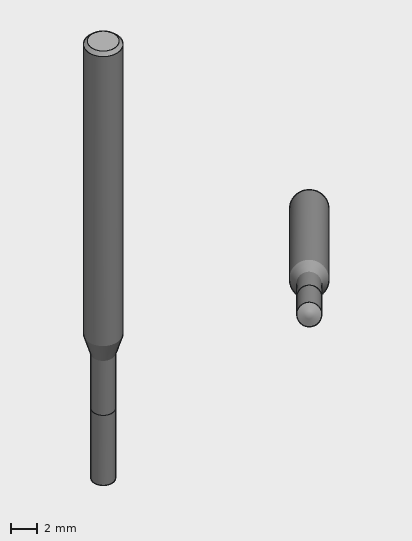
import cadquery as cq
import math

overall_length = 43.0
shank_diameter = 3.0
shank_chamfer = 0.3
shank_start = 14.4
neck_start = 12.5
cutter_length = 7.2
cutter_diameter = 1.9
neck_diameter = cutter_diameter
point_angle = 140.0

shank_radius = shank_diameter / 2
neck_radius = neck_diameter / 2
cutter_radius = cutter_diameter / 2
point_height = cutter_radius / math.tan(math.radians(point_angle / 2))


def revolve_profile(plane, points):
    """Turn a closed (radius, height) profile about the tool axis."""
    return cq.Workplane(plane).polyline(points).close().revolve(360, (0, 0), (0, 1))


def make_shank():
    """Chamfered shank, taper and neck, turned from the -Y side."""
    profile = [
        (0, cutter_length),
        (-neck_radius, cutter_length),
        (-neck_radius, neck_start),
        (-shank_radius, shank_start),
        (-shank_radius, overall_length - shank_chamfer),
        (-(shank_radius - shank_chamfer), overall_length),
        (0, overall_length),
    ]
    return revolve_profile("YZ", profile)


def make_cutter():
    """Plain cutting length with a conical point, turned from the -X side."""
    profile = [
        (0, 0),
        (-cutter_radius, point_height),
        (-cutter_radius, cutter_length),
        (0, cutter_length),
    ]
    return revolve_profile("XZ", profile)


shank = make_shank()
cutter = make_cutter()

result = cq.Compound.makeCompound([shank.val(), cutter.val()])